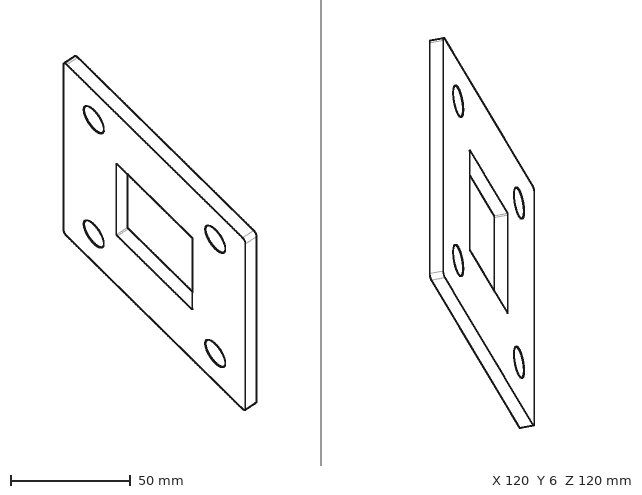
import cadquery as cq

plate_side = 120.0
plate_thickness = 6.0
corner_radius = 2.0

window_side = 50.2
window_corner_radius = 0.5

hole_spacing = 80.0
hole_diameter = 13.0
hole_chamfer = 0.2


def rounded_square_block(side, radius):
    """Plate-thick square block centred on the origin, its edges along Y rounded."""
    block = cq.Workplane("XY").box(side, plate_thickness, side)
    return block.edges("|Y").fillet(radius)


def hole_cutter():
    """Cylinder along Y through the origin, flared at both ends to chamfer the hole rims."""
    drill = cq.Workplane("XZ").circle(hole_diameter / 2).extrude(plate_thickness / 2, both=True)
    rim_diameter = hole_diameter + 2 * hole_chamfer
    front_flare = (
        cq.Workplane("XZ", origin=(0, -plate_thickness / 2, 0))
        .circle(rim_diameter / 2)
        .extrude(-hole_chamfer, taper=45)
    )
    back_flare = front_flare.mirror("XZ")
    return drill.union(front_flare).union(back_flare)


plate = rounded_square_block(plate_side, corner_radius)
window = rounded_square_block(window_side, window_corner_radius)
result = plate.cut(window)

hole_offset = hole_spacing / 2
cutter = hole_cutter()
for hole_x in (-hole_offset, hole_offset):
    for hole_z in (-hole_offset, hole_offset):
        result = result.cut(cutter.translate((hole_x, 0, hole_z)))